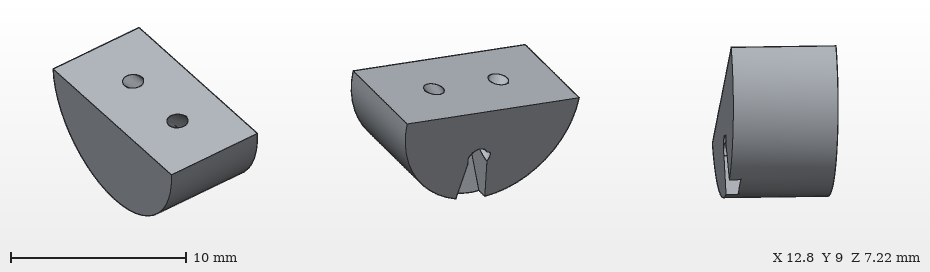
import cadquery as cq

radius = 5.84
thickness = 6.02
back = thickness / 2

bore_radius = 0.6
bore_spacing = 4.37
bore_drop = 3.45

slot_center = 0.36
slot_top = 2.49
slot_mouth_width = 2.02
rim_depth = 0.64

roll = -4.6
pitch = -9.1
yaw = 16.1


def half_disc():
    return (
        cq.Workplane("XZ", origin=(0, back, 0))
        .moveTo(-radius, 0)
        .threePointArc((0, -radius), (radius, 0))
        .close()
        .extrude(thickness)
    )


def slot():
    shoulder = slot_top + bore_radius
    mouth = slot_mouth_width / 2
    arch = (
        cq.Workplane("XZ", origin=(slot_center, back, 0))
        .moveTo(-bore_radius, -shoulder)
        .threePointArc((0, -slot_top), (bore_radius, -shoulder))
        .lineTo(mouth, -radius)
        .lineTo(-mouth, -radius)
        .close()
        .extrude(thickness)
    )
    above_floor = (
        cq.Workplane("YZ")
        .polyline([(-bore_radius, 0), (back, 0), (back, -radius), (back - rim_depth, -radius)])
        .close()
        .extrude(radius, both=True)
    )
    return arch.intersect(above_floor)


def bore(side):
    """Oblique passage with round horizontal sections, ending inside the slot."""
    start = side * bore_spacing / 2
    return (
        cq.Workplane("XY")
        .center(start, 0)
        .circle(bore_radius)
        .workplane(offset=-bore_drop)
        .center(slot_center - start, back)
        .circle(bore_radius)
        .loft(ruled=True)
    )


body = half_disc().cut(slot())
for side in (-1, 1):
    body = body.cut(bore(side))

origin = (0, 0, 0)
result = (
    body.rotate(origin, (1, 0, 0), roll)
    .rotate(origin, (0, 1, 0), pitch)
    .rotate(origin, (0, 0, 1), yaw)
)